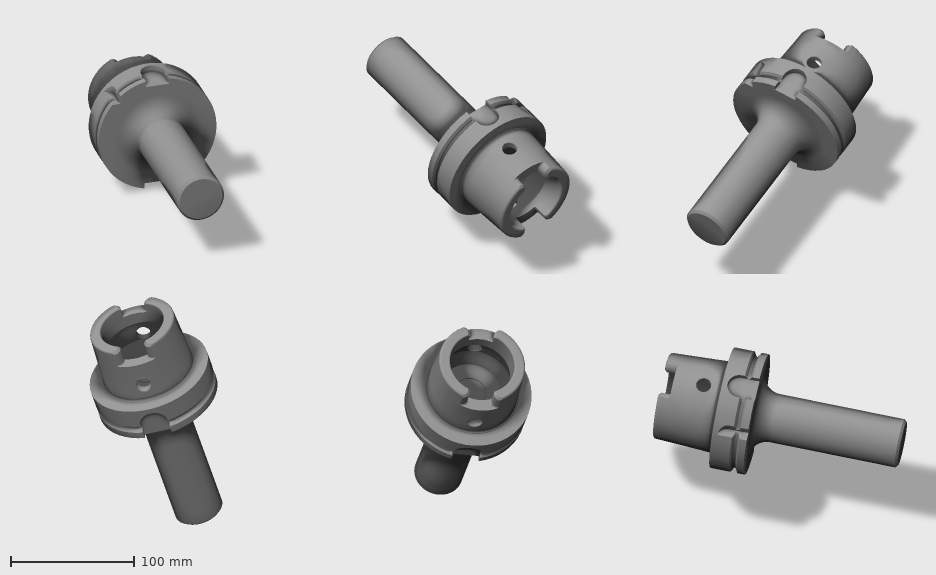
import cadquery as cq
import math

LENGTH = 200.0
FLANGE_FRONT = 50.0
FLANGE_BACK = 79.0

GAUGE_X = 40.0
GAUGE_RADIUS = 37.5
TAPER_SLOPE = 0.05
TIP_ROUND = 2.0
RELIEF_START = 47.2
RELIEF_RADIUS = 37.5
RELIEF_STEP = 0.5
RELIEF_FILLET = 1.5
RELIEF_MOUTH_RADIUS = 39.5
RELIEF_MOUTH_CHAMFER = 0.5

FLANGE_RADIUS = 50.0
FLANGE_FACE_DISH = 0.5
GROOVE_CENTRE = 70.0
GROOVE_MOUTH = 6.5
GROOVE_KNEE_RADIUS = 47.5
GROOVE_FLOOR_RADIUS = 46.0
GROOVE_HALF_ANGLE = 30.0
GROOVE_FILLET = 0.8

BAR_RADIUS = 20.0
BAR_FILLET = 15.0
BAR_CHAMFER = 2.0

BORE_RADIUS = 26.5
BORE_MOUTH_ROUND = 1.2
RECESS_START = 20.0
RECESS_END = 40.5
RECESS_RADIUS = 31.5
RECESS_CONE_ANGLE = 30.0
BORE_FLOOR_RADIUS = 25.0
BORE_DEPTH = RECESS_END + (RECESS_RADIUS - BORE_FLOOR_RADIUS) / math.tan(math.radians(RECESS_CONE_ANGLE))
CENTRE_RING_RADIUS = 12.5
CENTRE_RING_WIDTH = 0.8
CENTRE_RING_DEPTH = 0.8

CROSS_HOLE_X = 34.8
CROSS_HOLE_RADIUS = 6.0
CROSS_HOLE_CHAMFER = 0.5

TIP_SLOT_HALF_WIDTH = 10.0
TIP_SLOT_SHELF = 32.2
TIP_SLOT_ROUND = 5.5
TIP_SLOT_FILLET = 1.5
TIP_SLOT_CHAMFER = 2.0
TOP_SLOT_DEPTH = 9.8
BOTTOM_SLOT_DEPTH = 14.5

KEYWAY_START = 54.8
KEYWAY_WIDTH = 19.5
LOWER_KEYWAY_WIDTH = 22.8
KEYWAY_FLOOR = 44.0
NOTCH_WIDTH = 16.0
NOTCH_FLOOR = 31.8
NOTCH_WALL = 31.5


def taper_radius(x):
    return GAUGE_RADIUS + TAPER_SLOPE * (x - GAUGE_X)


def revolve_about_x(profile):
    return profile.close().revolve(360, (0, 0, 0), (1, 0, 0))


def body():
    relief_end = FLANGE_FRONT - RELIEF_MOUTH_CHAMFER
    bar_fillet_end = FLANGE_BACK + BAR_FILLET
    arc_offset = BAR_FILLET * math.sqrt(0.5)
    profile = (
        cq.Workplane("XY")
        .lineTo(0, taper_radius(0))
        .lineTo(RELIEF_START, taper_radius(RELIEF_START))
        .lineTo(RELIEF_START + RELIEF_STEP, RELIEF_RADIUS)
        .lineTo(relief_end - RELIEF_FILLET, RELIEF_RADIUS)
        .radiusArc((relief_end, RELIEF_RADIUS + RELIEF_FILLET), -RELIEF_FILLET)
        .lineTo(FLANGE_FRONT, RELIEF_MOUTH_RADIUS)
        .lineTo(FLANGE_FRONT + FLANGE_FACE_DISH, FLANGE_RADIUS)
        .lineTo(FLANGE_BACK, FLANGE_RADIUS)
        .lineTo(FLANGE_BACK, BAR_RADIUS + BAR_FILLET)
        .threePointArc(
            (bar_fillet_end - arc_offset, BAR_RADIUS + BAR_FILLET - arc_offset),
            (bar_fillet_end, BAR_RADIUS),
        )
        .lineTo(LENGTH - BAR_CHAMFER, BAR_RADIUS)
        .lineTo(LENGTH, BAR_RADIUS - BAR_CHAMFER)
        .lineTo(LENGTH, 0)
    )
    return revolve_about_x(profile).faces("<X").edges().fillet(TIP_ROUND)


def gripper_groove():
    half_mouth = GROOVE_MOUTH / 2
    wall_run = (FLANGE_RADIUS - GROOVE_KNEE_RADIUS) * math.tan(math.radians(GROOVE_HALF_ANGLE))
    half_floor = half_mouth - wall_run
    profile = (
        cq.Workplane("XY")
        .moveTo(GROOVE_CENTRE - half_mouth, FLANGE_RADIUS)
        .lineTo(GROOVE_CENTRE - half_floor, GROOVE_KNEE_RADIUS)
        .lineTo(GROOVE_CENTRE - half_floor, GROOVE_FLOOR_RADIUS)
        .lineTo(GROOVE_CENTRE + half_floor, GROOVE_FLOOR_RADIUS)
        .lineTo(GROOVE_CENTRE + half_floor, GROOVE_KNEE_RADIUS)
        .lineTo(GROOVE_CENTRE + half_mouth, FLANGE_RADIUS)
    )
    groove = revolve_about_x(profile)
    floor_edges = cq.selectors.RadiusNthSelector(0)
    return groove.edges("%CIRCLE").edges(floor_edges).fillet(GROOVE_FILLET)


def bore():
    """Bore that widens into a clamping recess and narrows over a cone to its floor."""
    profile = (
        cq.Workplane("XY")
        .lineTo(0, BORE_RADIUS + BORE_MOUTH_ROUND)
        .radiusArc((BORE_MOUTH_ROUND, BORE_RADIUS), -BORE_MOUTH_ROUND)
        .lineTo(RECESS_START, BORE_RADIUS)
        .lineTo(RECESS_START, RECESS_RADIUS)
        .lineTo(RECESS_END, RECESS_RADIUS)
        .lineTo(BORE_DEPTH, BORE_FLOOR_RADIUS)
        .lineTo(BORE_DEPTH, 0)
    )
    return revolve_about_x(profile)


def centre_ring():
    return (
        cq.Workplane("YZ", origin=(BORE_DEPTH, 0, 0))
        .circle(CENTRE_RING_RADIUS)
        .circle(CENTRE_RING_RADIUS - CENTRE_RING_WIDTH)
        .extrude(CENTRE_RING_DEPTH)
    )


def tip_slot_outline(x):
    """Section of the slot on the +Z side: narrow at the bore, flaring over a round to a flat shelf."""
    outer = FLANGE_RADIUS
    round_start = TIP_SLOT_SHELF - TIP_SLOT_ROUND
    flare = TIP_SLOT_HALF_WIDTH + TIP_SLOT_ROUND
    return (
        cq.Workplane("YZ", origin=(x, 0, 0))
        .moveTo(-TIP_SLOT_HALF_WIDTH, 0)
        .lineTo(-TIP_SLOT_HALF_WIDTH, round_start)
        .radiusArc((-flare, TIP_SLOT_SHELF), -TIP_SLOT_ROUND)
        .lineTo(-outer, TIP_SLOT_SHELF)
        .lineTo(-outer, outer)
        .lineTo(outer, outer)
        .lineTo(outer, TIP_SLOT_SHELF)
        .lineTo(flare, TIP_SLOT_SHELF)
        .radiusArc((TIP_SLOT_HALF_WIDTH, round_start), -TIP_SLOT_ROUND)
        .lineTo(TIP_SLOT_HALF_WIDTH, 0)
        .close()
    )


def tip_slot(depth):
    """Cutter for a slot with a filleted end and a 45 degree chamfer around its mouth."""
    slot = tip_slot_outline(0).extrude(depth).faces(">X").edges().fillet(TIP_SLOT_FILLET)
    mouth = tip_slot_outline(TIP_SLOT_CHAMFER).extrude(-TIP_SLOT_CHAMFER, taper=-45)
    return slot.union(mouth)


def keyway(width, floor, centre_y):
    """Cutter for a round-ended keyway that runs out through the back of the flange."""
    radius = width / 2
    end_x = KEYWAY_START + radius
    return (
        cq.Workplane("XY", origin=(0, centre_y, floor))
        .moveTo(FLANGE_BACK, radius)
        .lineTo(end_x, radius)
        .threePointArc((KEYWAY_START, 0), (end_x, -radius))
        .lineTo(FLANGE_BACK, -radius)
        .close()
        .extrude(FLANGE_RADIUS)
    )


def drill_cross_hole(shank):
    """Drill right through along Z and break both rims."""
    hole = (
        cq.Workplane("XY", origin=(CROSS_HOLE_X, 0, -FLANGE_RADIUS))
        .circle(CROSS_HOLE_RADIUS)
        .extrude(2 * FLANGE_RADIUS)
    )
    reach = CROSS_HOLE_RADIUS + CROSS_HOLE_CHAMFER
    rims = cq.selectors.BoxSelector(
        (CROSS_HOLE_X - reach, -reach, -FLANGE_RADIUS),
        (CROSS_HOLE_X + reach, reach, FLANGE_RADIUS),
        boundingbox=True,
    )
    return shank.cut(hole).edges(rims).edges("not |Z").chamfer(CROSS_HOLE_CHAMFER)


def turned_over(cutter):
    return cutter.rotate((0, 0, 0), (1, 0, 0), 180)


upper_keyway = keyway(KEYWAY_WIDTH, KEYWAY_FLOOR, 0)
lower_keyway = turned_over(keyway(LOWER_KEYWAY_WIDTH, KEYWAY_FLOOR, 0))
side_notch = keyway(NOTCH_WIDTH, NOTCH_FLOOR, -NOTCH_WALL - NOTCH_WIDTH / 2)

result = drill_cross_hole(body())
result = result.cut(tip_slot(TOP_SLOT_DEPTH))
result = result.cut(turned_over(tip_slot(BOTTOM_SLOT_DEPTH)))
result = result.cut(bore())
result = result.cut(centre_ring())
result = result.cut(gripper_groove())
result = result.cut(upper_keyway)
result = result.cut(lower_keyway)
result = result.cut(side_notch)